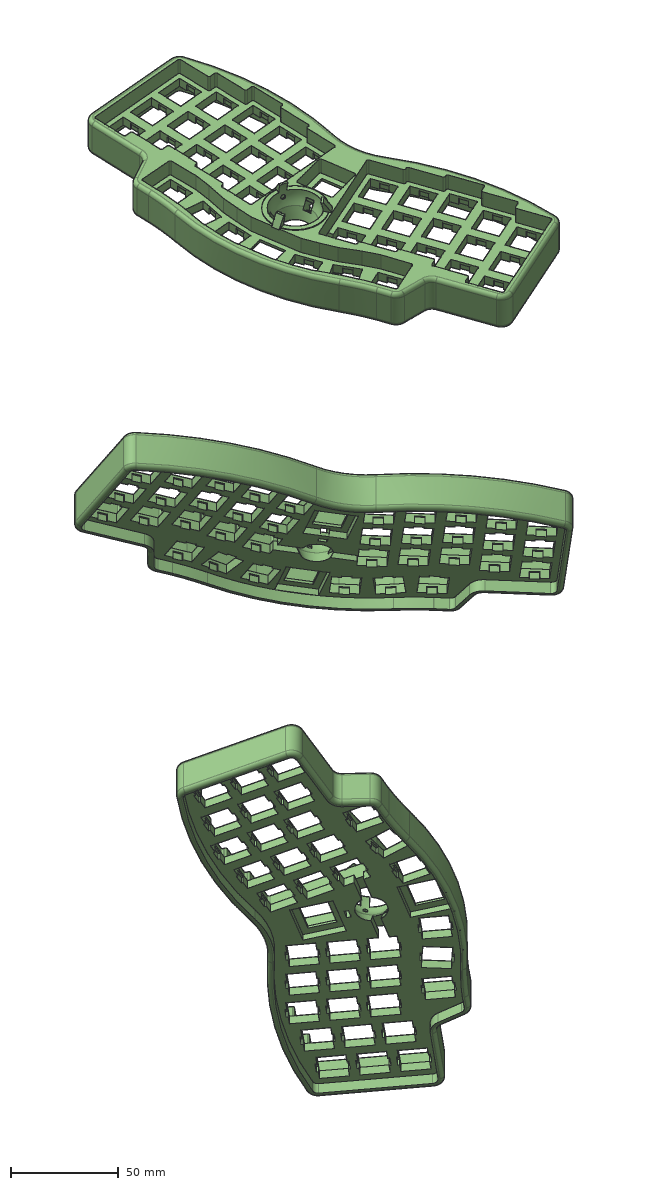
import cadquery as cq
import math

BODY_HEIGHT = 19.7
EDGE_RADIUS = 2.0
WING_ANGLE = 10
OUTER_CORNER_RADIUS = 5.9
INNER_CORNER_RADIUS = 4.7

CROWN_X, CROWN_Y = 73.8, 53.0
CROWN_RADIUS = 167.5
DIP_RADIUS = 39.8

FRONT_Y = -53.0
FRONT_RADIUS = 138.2
WING_SIDE_TOP = (107.0, 50.4)
WING_FRONT_CORNER = (118.0, -12.6)
WING_INNER_CORNER = (79.5, -19.7)
STEP_FRONT_CORNER = (74.3, -38.6)
FRONT_LINE_END = (63.2, -40.5)
FRONT_BLEND_MIDDLE = (55.0, -42.5)
FRONT_ARC_X = 45.7

PLATE_TOP = 11.0
PLATE_BOTTOM = 6.0
CAVITY_WALL = 3.0

SWITCH_SIZE = 14.0
THREE_KEY_SPAN = 57.2
KEY_PITCH = THREE_KEY_SPAN / 3
KEY_POCKET_SIZE = 19.5
CLIP_WIDTH = 5.0
CLIP_DEPTH = 1.0
CLIP_LIP = 1.5
WING_CENTRE = (60.0, 19.5)
COLUMN_DROPS = {-2: 4.7, -1: 2.3, 0: 0.0, 1: 4.7, 2: 9.4}
CENTRE_KEY_Y = 13.4
CENTRE_POCKET_SIZE = 20.1
POCKET_RADIUS = 1.0
CENTRE_RELIEF_SIZE = 21.0
THUMB_KEYS = [(20.4, -37.5, 10), (40.0, -32.3, 20), (59.7, -27.0, 10)]
THUMB_CENTRE_Y = -39.0
THUMB_POCKET_CORNERS = [(67.5, -16.0), (71.0, -35.0)]
THUMB_POCKET_HALF = [
    (13.8, -29.0), (23.0, -27.2), (31.9, -25.0), (42.6, -21.0), (51.3, -18.5), *THUMB_POCKET_CORNERS,
    (55.7, -37.7), (44.5, -40.5), (30.5, -45.2), (20.0, -47.3), (10.5, -48.5),
]

BALL_Y = -12.6
BALL_RADIUS = 13.1
BALL_RISE = 0.7
BALL_Z = BODY_HEIGHT + BALL_RISE
SOCKET_HOLE_RADIUS = 7.7
WELL_RADIUS = 10.5
WELL_TOP = 12.6
RING_RADIUS = 15.7
RING_HEIGHT = 0.5
PRONG_TOP = 25.5
PRONG_WIDTH = 4.2
PRONG_BASE_RADIUS = 17.0
PRONG_TIP_RADIUS = 13.1
PRONG_ANGLES = (30, 150, 270)
BEARING_ANGLES = (90, 210, 330)
BEARING_WIDTH = 4.2
BEARING_HEIGHT = 4.7
BEARING_REACH = 19.7
BEARING_SLOPE = 35
DIMPLE_DIAMETER = 2.3
DIMPLE_SLOPE = 15
DIMPLE_DEPTH = 1.0
SENSOR_SLOT_WIDTH = 5.0
SENSOR_SLOT_TOP = 11.0
SENSOR_SLOT_LENGTH = 46.8
WINDOW_WIDTH = 4.2
WINDOW_TOP = 16.5
WINDOW_INNER, WINDOW_OUTER = 10.5, 12.6


def mirrored(point):
    return (-point[0], point[1])


def on_arc(centre, radius, x, side):
    """Point of a circle at the given x, on its upper (+1) or lower (-1) half."""
    return (x, centre[1] + side * math.sqrt(radius**2 - (x - centre[0]) ** 2))


def outline():
    crown = (CROWN_X, CROWN_Y - CROWN_RADIUS)
    centre_gap = CROWN_RADIUS + DIP_RADIUS
    dip = (0, crown[1] + math.sqrt(centre_gap**2 - CROWN_X**2))
    dip_end = on_arc(crown, CROWN_RADIUS, CROWN_X * DIP_RADIUS / centre_gap, 1)
    front = (0, FRONT_Y + FRONT_RADIUS)
    front_end = on_arc(front, FRONT_RADIUS, FRONT_ARC_X, -1)
    wing_top = on_arc(crown, CROWN_RADIUS, WING_SIDE_TOP[0], 1)
    crown_top = (CROWN_X, CROWN_Y)
    return (
        cq.Workplane("XY")
        .moveTo(*mirrored(dip_end))
        .threePointArc((0, dip[1] - DIP_RADIUS), dip_end)
        .threePointArc(crown_top, wing_top)
        .lineTo(*WING_FRONT_CORNER)
        .lineTo(*WING_INNER_CORNER)
        .lineTo(*STEP_FRONT_CORNER)
        .lineTo(*FRONT_LINE_END)
        .threePointArc(FRONT_BLEND_MIDDLE, front_end)
        .threePointArc((0, FRONT_Y), mirrored(front_end))
        .threePointArc(mirrored(FRONT_BLEND_MIDDLE), mirrored(FRONT_LINE_END))
        .lineTo(*mirrored(STEP_FRONT_CORNER))
        .lineTo(*mirrored(WING_INNER_CORNER))
        .lineTo(*mirrored(WING_FRONT_CORNER))
        .lineTo(*mirrored(wing_top))
        .threePointArc(mirrored(crown_top), mirrored(dip_end))
        .close()
    )


def corner_edges(solid, corners):
    """Upright edges at the given corners of the right half and at their mirror images."""
    reach = 1.2
    edges = solid.edges("|Z")
    chosen = []
    for x, y in corners + [mirrored(corner) for corner in corners]:
        box = cq.selectors.BoxSelector((x - reach, y - reach, -2.3), (x + reach, y + reach, BODY_HEIGHT))
        chosen += edges.edges(box).vals()
    return solid.newObject(chosen)


def rounded_blank():
    blank = outline().extrude(BODY_HEIGHT)
    outer_corners = [WING_SIDE_TOP, WING_FRONT_CORNER, STEP_FRONT_CORNER]
    blank = corner_edges(blank, outer_corners).fillet(OUTER_CORNER_RADIUS)
    return corner_edges(blank, [WING_INNER_CORNER]).fillet(INNER_CORNER_RADIUS)


def underside_cavity(blank):
    rim = blank.faces("<Z").wires().val()
    inner = rim.offset2D(-CAVITY_WALL)[0]
    return cq.Workplane("XY").add(inner).toPending().extrude(PLATE_BOTTOM)


def box_between(size_x, size_y, bottom, top):
    return cq.Workplane("XY").workplane(offset=bottom).rect(size_x, size_y).extrude(top - bottom)


def wing_keys():
    """x, y and tilt of every key of the right-hand wing."""
    tilt = math.radians(WING_ANGLE)
    keys = []
    for column, drop in COLUMN_DROPS.items():
        for row in (-1, 0, 1):
            along = column * KEY_PITCH
            up = row * KEY_PITCH - drop
            x = WING_CENTRE[0] + along * math.cos(tilt) - up * math.sin(tilt)
            y = WING_CENTRE[1] + along * math.sin(tilt) + up * math.cos(tilt)
            keys.append((x, y, WING_ANGLE))
    return keys


def wing_pocket():
    """Stepped pocket round the five key columns of the right-hand wing."""
    column_length = 2 * KEY_PITCH + KEY_POCKET_SIZE
    pocket = cq.Workplane("XY")
    for column, drop in COLUMN_DROPS.items():
        box = box_between(KEY_POCKET_SIZE, column_length, PLATE_TOP, BODY_HEIGHT)
        pocket = pocket.union(box.translate((column * KEY_PITCH, -drop, 0)))
    pocket = pocket.edges("|Z").fillet(POCKET_RADIUS)
    return pocket.rotate((0, 0, 0), (0, 0, 1), WING_ANGLE).translate((*WING_CENTRE, 0))


def both_sides(keys):
    return keys + [(-x, y, -tilt) for x, y, tilt in keys]


def at_keys(tool, keys):
    """Copies of a tool, turned and moved to every key."""
    return [tool.rotate((0, 0, 0), (0, 0, 1), tilt).translate((x, y, 0)).val() for x, y, tilt in keys]


def switch_hole():
    hole = box_between(SWITCH_SIZE, SWITCH_SIZE, PLATE_BOTTOM, PLATE_TOP)
    clips = box_between(CLIP_WIDTH, SWITCH_SIZE + 2 * CLIP_DEPTH, PLATE_BOTTOM, PLATE_TOP - CLIP_LIP)
    return hole.union(clips)


def centre_pocket():
    pocket = box_between(CENTRE_POCKET_SIZE, CENTRE_POCKET_SIZE, PLATE_TOP, BODY_HEIGHT)
    return pocket.edges("|Z").fillet(POCKET_RADIUS).translate((0, CENTRE_KEY_Y, 0))


def thumb_pocket():
    left_half = [mirrored(point) for point in reversed(THUMB_POCKET_HALF)]
    points = THUMB_POCKET_HALF + left_half
    floor = cq.Workplane("XY", origin=(0, 0, PLATE_TOP))
    pocket = floor.polyline(points).close().extrude(BODY_HEIGHT - PLATE_TOP)
    return corner_edges(pocket, THUMB_POCKET_CORNERS).fillet(POCKET_RADIUS)


def around_ball(shape, angle):
    """Turn a shape made along +X about the upright axis, then move it to the ball."""
    return shape.rotate((0, 0, 0), (0, 0, 1), angle).translate((0, BALL_Y, 0))


def socket_ring():
    return cq.Workplane("XY", origin=(0, BALL_Y, BODY_HEIGHT)).circle(RING_RADIUS).extrude(RING_HEIGHT)


def socket_well():
    """Cone that narrows from the bowl down to the hole in the socket floor."""
    well = cq.Workplane("XY", origin=(0, BALL_Y, PLATE_BOTTOM)).circle(SOCKET_HOLE_RADIUS)
    return well.workplane(offset=WELL_TOP - PLATE_BOTTOM).circle(WELL_RADIUS).loft()


def prong():
    profile = [
        (SOCKET_HOLE_RADIUS, BODY_HEIGHT),
        (PRONG_BASE_RADIUS, BODY_HEIGHT),
        (PRONG_TIP_RADIUS, PRONG_TOP),
        (SOCKET_HOLE_RADIUS, PRONG_TOP),
    ]
    return cq.Workplane("XZ").polyline(profile).close().extrude(PRONG_WIDTH / 2, both=True)


def sloped(shape, slope):
    """Tip a shape made along +X downwards and raise it to the ball centre."""
    return shape.rotate((0, 0, 0), (0, 1, 0), slope).translate((0, 0, BALL_Z))


def bearing_slot():
    slot = cq.Workplane("XY").box(BEARING_REACH, BEARING_WIDTH, BEARING_HEIGHT, centered=(False, True, True))
    return sloped(slot, BEARING_SLOPE)


def dimple():
    pin = cq.Workplane("YZ").circle(DIMPLE_DIAMETER / 2).extrude(BALL_RADIUS + DIMPLE_DEPTH)
    return sloped(pin, DIMPLE_SLOPE)


blank = rounded_blank()
result = blank.faces("|Z").edges().fillet(EDGE_RADIUS)
result = result.cut(underside_cavity(blank))

wing = both_sides(wing_keys())
thumb = both_sides(THUMB_KEYS)
middle = [(0, CENTRE_KEY_Y, 0), (0, THUMB_CENTRE_Y, 0)]
relief = box_between(CENTRE_RELIEF_SIZE, CENTRE_RELIEF_SIZE, PLATE_BOTTOM, PLATE_TOP - CLIP_LIP)
key_tools = [wing_pocket().val(), wing_pocket().mirror("YZ").val()]
key_tools += at_keys(relief, middle) + at_keys(switch_hole(), wing + thumb + middle)
result = cq.Workplane(result.val().cut(*key_tools))
result = result.cut(centre_pocket()).cut(thumb_pocket())

result = result.union(socket_ring())
for angle in PRONG_ANGLES:
    result = result.union(around_ball(prong(), angle))
result = result.cut(cq.Workplane("XY").sphere(BALL_RADIUS).translate((0, BALL_Y, BALL_Z)))
result = result.cut(cq.Workplane("XY").circle(SOCKET_HOLE_RADIUS).extrude(BODY_HEIGHT).translate((0, BALL_Y, 0)))
result = result.cut(socket_well())
for angle in BEARING_ANGLES:
    result = result.cut(around_ball(bearing_slot(), angle))
for angle in PRONG_ANGLES:
    result = result.cut(around_ball(dimple(), angle))
result = result.cut(box_between(SENSOR_SLOT_LENGTH, SENSOR_SLOT_WIDTH, 0, SENSOR_SLOT_TOP).translate((0, BALL_Y, 0)))
window = box_between(WINDOW_WIDTH, WINDOW_OUTER - WINDOW_INNER, 0, WINDOW_TOP)
result = result.cut(window.translate((0, BALL_Y + (WINDOW_INNER + WINDOW_OUTER) / 2, 0)))